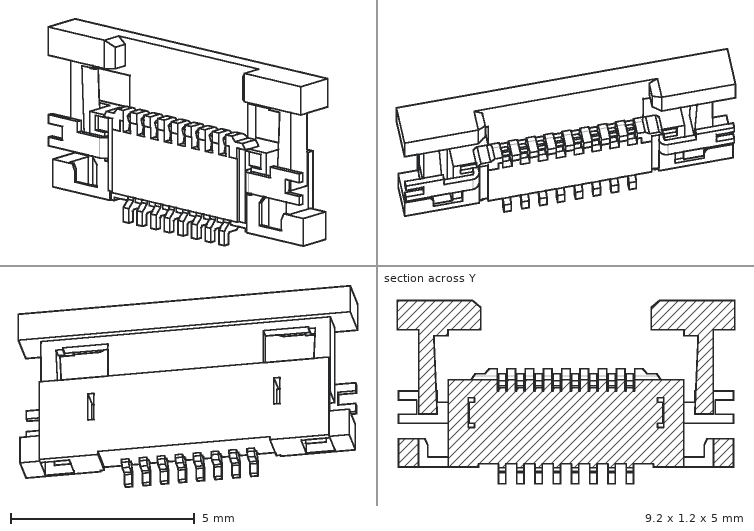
import cadquery as cq


SLIDER_WIDTH = 9.2
SLIDER_TOP = 5.0
SLIDER_BAR_BOTTOM = 4.195
SLIDER_FRONT = 0.03
SLIDER_BACK = 1.14
RECESS_HALF = 2.55
GUIDE_WIDTH = 0.23
GUIDE_DEPTH = 0.18
GUIDE_TOP_DROP = 0.19
PLATE_HALF = 2.15
PLATE_FRONT = 0.62
PLATE_SHOULDER = 3.95
ARM_FRONT = 0.285
ARM_BACK = 0.95
ARM_BOTTOM = 1.895
ARM_ROOT_INNER = 3.6
ARM_TIP_INNER = 3.505
ARM_WEB_BOTTOM = 4.03
ARM_GUSSET_INNER = 3.4
ARM_GUSSET_BOTTOM = 3.89

HOUSING_HALF = 4.01
HOUSING_BOTTOM = 0.45
HOUSING_TOP = 2.83
HOUSING_FRONT = 0.175
HOUSING_BACK = 1.2
BACK_WALL_FRONT = 1.0
BLOCK_HALF = 3.21
CENTER_HALF = 2.49
BOTTOM_NOTCH_HALF = 2.38
BOTTOM_NOTCH_TOP = 0.54
LIP_FRONT = 0.24
RAIL_FRONT = 0.12
RAIL_BOTTOM = 0.74

FOOT_HALF = 4.56
FOOT_INNER = 3.76
FOOT_TOP = 1.23
FOOT_BACK = 1.095
FOOT_CHAMFER_WIDTH = 0.08
FOOT_CHAMFER_HEIGHT = 0.175
SHELF_TOP = 0.74
FOOT_PLATE_BACK = 0.25
POCKET_BACK = 0.285
LATCH_POCKET_INNER = 2.95
LATCH_POCKET_SIDE_TOP = 1.37
LATCH_POCKET_TOP = 1.7
UPPER_POCKET_HALF = 3.01
UPPER_POCKET_BOTTOM = 2.34
UPPER_POCKET_TOP = 2.76

COVER_HALF = 2.27
COVER_FRONT = 0.04
COVER_NOTCH_INNER = 1.99
COVER_NOTCH_BOTTOM = 2.53
COMB_FRONT = 0.03
COMB_TOP = 3.14
COMB_SHOULDER = 3.0
COMB_BACK = 0.57
COMB_ROUND = 0.19
COMB_HIGH_HALF = 2.09
COMB_LOW_HALF = 2.475
COMB_HIGH_RUN = 0.12
COMB_LOW_RUN = 0.11

CONTACT_COUNT = 8
PITCH = 0.5
CONTACT_WIDTH = 0.2
SLOT_WIDTH = 0.26
SLOT_BACK = 0.61
TAIL_SLOT_BACK = 0.41
CONTACT_TOP = 3.0

TAB_BOTTOM = 1.65
TAB_TOP = 2.53
TAB_STEP_TOP = 2.23
TAB_STEP_X = 3.505
TAB_THICKNESS = 0.15
TAB_BEND_RADIUS = 0.22
TAB_LEG_BACK = 0.74
TAB_NOTCH_X = 4.07
TAB_NOTCH_BOTTOM = 1.895
TAB_NOTCH_TOP = 2.28
TAB_HOLE_BOTTOM = 1.54
TAB_HOLE_OUTER = 2.66


def box(x0, x1, y0, y1, z0, z1):
    return cq.Workplane("XY").box(x1 - x0, y1 - y0, z1 - z0, centered=False).translate((x0, y0, z0))


def front_prism(points, y0, y1):
    """Extrude an XZ outline from y0 back to y1."""
    return cq.Workplane("XZ", origin=(0, y0, 0)).polyline(points).close().extrude(y0 - y1)


def side_prism(points, x_center, width):
    """Extrude a YZ outline along X, centred on x_center."""
    start = cq.Workplane("YZ", origin=(x_center - width / 2, 0, 0))
    return start.polyline(points).close().extrude(width)


def both_sides(shape):
    return shape.union(shape.mirror("YZ"))


def make_slider():
    half = SLIDER_WIDTH / 2
    bar = box(-half, half, SLIDER_FRONT, SLIDER_BACK, SLIDER_BAR_BOTTOM, SLIDER_TOP)
    bar = bar.cut(box(-RECESS_HALF, RECESS_HALF, 0, PLATE_FRONT, SLIDER_BAR_BOTTOM, SLIDER_TOP))

    guide_inner = RECESS_HALF - GUIDE_WIDTH
    guide_plan = [
        (RECESS_HALF, SLIDER_FRONT),
        (guide_inner, SLIDER_FRONT + GUIDE_DEPTH),
        (guide_inner, PLATE_FRONT),
        (RECESS_HALF, PLATE_FRONT),
    ]
    guide_elevation = [
        (RECESS_HALF, SLIDER_BAR_BOTTOM),
        (guide_inner, SLIDER_BAR_BOTTOM),
        (guide_inner, SLIDER_TOP - GUIDE_TOP_DROP),
        (RECESS_HALF, SLIDER_TOP),
    ]
    guide = cq.Workplane("XY").polyline(guide_plan).close().extrude(SLIDER_TOP)
    guide = guide.intersect(front_prism(guide_elevation, SLIDER_FRONT, PLATE_FRONT))

    arm_outline = [
        (HOUSING_HALF, SLIDER_BAR_BOTTOM),
        (BLOCK_HALF, SLIDER_BAR_BOTTOM),
        (BLOCK_HALF, ARM_WEB_BOTTOM),
        (ARM_ROOT_INNER, ARM_WEB_BOTTOM),
        (ARM_TIP_INNER, ARM_BOTTOM),
        (HOUSING_HALF, ARM_BOTTOM),
    ]
    arm = front_prism(arm_outline, ARM_FRONT, ARM_BACK)
    gusset = box(ARM_GUSSET_INNER, ARM_ROOT_INNER, PLATE_FRONT, ARM_BACK, ARM_GUSSET_BOTTOM, SLIDER_BAR_BOTTOM)

    shoulder = box(-ARM_ROOT_INNER, ARM_ROOT_INNER, PLATE_FRONT, ARM_BACK, PLATE_SHOULDER, SLIDER_BAR_BOTTOM)
    tongue = box(-PLATE_HALF, PLATE_HALF, PLATE_FRONT, ARM_BACK, ARM_BOTTOM, SLIDER_BAR_BOTTOM)
    sides = both_sides(arm.union(gusset).union(guide))
    return bar.union(shoulder).union(tongue).union(sides)


def make_foot():
    """Corner block with a thin front plate closing off the arm channel."""
    outline = [
        (FOOT_HALF, HOUSING_BOTTOM),
        (FOOT_HALF, FOOT_TOP),
        (FOOT_INNER + FOOT_CHAMFER_WIDTH, FOOT_TOP),
        (FOOT_INNER, FOOT_TOP - FOOT_CHAMFER_HEIGHT),
        (FOOT_INNER, HOUSING_BOTTOM),
    ]
    plate = front_prism(outline, HOUSING_FRONT, FOOT_PLATE_BACK)
    block = box(HOUSING_HALF, FOOT_HALF, HOUSING_FRONT, FOOT_BACK, HOUSING_BOTTOM, FOOT_TOP)
    shelf = box(BLOCK_HALF, FOOT_INNER, HOUSING_FRONT, FOOT_PLATE_BACK, HOUSING_BOTTOM, SHELF_TOP)
    return plate.union(block).union(shelf)


def make_side_pockets():
    latch_outline = [
        (BLOCK_HALF, SHELF_TOP),
        (LATCH_POCKET_INNER, SHELF_TOP),
        (LATCH_POCKET_INNER, LATCH_POCKET_SIDE_TOP),
        (BLOCK_HALF, LATCH_POCKET_TOP),
    ]
    latch = front_prism(latch_outline, 0, POCKET_BACK)
    upper = box(CENTER_HALF, UPPER_POCKET_HALF, 0, POCKET_BACK, UPPER_POCKET_BOTTOM, UPPER_POCKET_TOP)
    tab_hole = box(CENTER_HALF, TAB_HOLE_OUTER, 0, HOUSING_BACK, TAB_HOLE_BOTTOM, UPPER_POCKET_BOTTOM)
    return both_sides(latch.union(upper).union(tab_hole))


def make_comb():
    """Rounded ridge along the cable entry, with stepped and sloped ends."""
    profile = (
        cq.Workplane("YZ", origin=(-HOUSING_HALF, 0, 0))
        .moveTo(COMB_FRONT, COVER_NOTCH_BOTTOM)
        .lineTo(COMB_FRONT, COMB_TOP)
        .lineTo(COMB_BACK - COMB_ROUND, COMB_TOP)
        .radiusArc((COMB_BACK, COMB_TOP - COMB_ROUND), COMB_ROUND)
        .lineTo(COMB_BACK, COVER_NOTCH_BOTTOM)
        .close()
        .extrude(2 * HOUSING_HALF)
    )
    right_edge = [
        (COVER_NOTCH_INNER, HOUSING_TOP),
        (COVER_NOTCH_INNER, COVER_NOTCH_BOTTOM),
        (COVER_HALF, COVER_NOTCH_BOTTOM),
        (COVER_HALF, HOUSING_TOP),
        (COMB_LOW_HALF + COMB_LOW_RUN, HOUSING_TOP),
        (COMB_LOW_HALF, COMB_SHOULDER),
        (COMB_HIGH_HALF + COMB_HIGH_RUN, COMB_SHOULDER),
        (COMB_HIGH_HALF, COMB_TOP),
    ]
    left_edge = [(-x, z) for x, z in reversed(right_edge)]
    return profile.intersect(front_prism(right_edge + left_edge, 0, HOUSING_BACK))


def make_cover():
    cover_outline = [
        (COVER_HALF, RAIL_BOTTOM),
        (COVER_HALF, COVER_NOTCH_BOTTOM),
        (COVER_NOTCH_INNER, COVER_NOTCH_BOTTOM),
        (COVER_NOTCH_INNER, HOUSING_TOP),
    ]
    mirrored = [(-x, z) for x, z in reversed(cover_outline)]
    return front_prism(cover_outline + mirrored, COVER_FRONT, LIP_FRONT)


def make_housing():
    body = box(-BLOCK_HALF, BLOCK_HALF, HOUSING_FRONT, HOUSING_BACK, HOUSING_BOTTOM, HOUSING_TOP)
    wall = box(-HOUSING_HALF, HOUSING_HALF, BACK_WALL_FRONT, HOUSING_BACK, HOUSING_BOTTOM, HOUSING_TOP)
    rails = box(-CENTER_HALF, CENTER_HALF, RAIL_FRONT, LIP_FRONT, RAIL_BOTTOM, HOUSING_TOP)
    lip_relief = box(-CENTER_HALF, CENTER_HALF, 0, LIP_FRONT, HOUSING_BOTTOM, RAIL_BOTTOM)
    notch = box(-BOTTOM_NOTCH_HALF, BOTTOM_NOTCH_HALF, 0, HOUSING_BACK, HOUSING_BOTTOM, BOTTOM_NOTCH_TOP)
    housing = body.union(wall).union(both_sides(make_foot()))
    housing = housing.cut(lip_relief).cut(notch).cut(make_side_pockets())
    return housing.union(rails).union(make_comb()).union(make_cover())


def make_contact_slots(x):
    half = SLOT_WIDTH / 2
    upper = box(x - half, x + half, 0, SLOT_BACK, COVER_NOTCH_BOTTOM, COMB_TOP)
    lower = box(x - half, x + half, LIP_FRONT, TAIL_SLOT_BACK, HOUSING_BOTTOM, RAIL_BOTTOM)
    return upper.union(lower)


def make_contact(x):
    """Hooked beak in the comb slot and bent solder tail under the housing."""
    root = COVER_NOTCH_BOTTOM - 0.09
    beak = [
        (0.22, root),
        (0.22, COVER_NOTCH_BOTTOM),
        (0.28, 2.78),
        (0.23, 2.78),
        (0.175, 2.95),
        (0.25, CONTACT_TOP),
        (0.3, CONTACT_TOP),
        (0.51, 2.81),
        (0.52, 2.67),
        (SLOT_BACK, 2.61),
        (SLOT_BACK, root),
    ]
    tail = [
        (0, 0),
        (0, 0.405),
        (0.19, 0.6),
        (0.19, RAIL_BOTTOM),
        (0.62, RAIL_BOTTOM),
        (0.62, HOUSING_BOTTOM),
        (0.51, 0.34),
        (0.22, 0.34),
        (0.175, 0.29),
        (0.175, 0),
    ]
    return side_prism(beak, x, CONTACT_WIDTH).union(side_prism(tail, x, CONTACT_WIDTH))


def make_tab():
    """Forked solder tab whose inner end bends back into the housing hole."""
    bend_start = CENTER_HALF + TAB_BEND_RADIUS
    inner_radius = TAB_BEND_RADIUS - TAB_THICKNESS
    strip = (
        cq.Workplane("XY", origin=(0, 0, TAB_BOTTOM))
        .moveTo(FOOT_HALF, 0)
        .lineTo(bend_start, 0)
        .radiusArc((CENTER_HALF, TAB_BEND_RADIUS), TAB_BEND_RADIUS)
        .lineTo(CENTER_HALF, TAB_LEG_BACK)
        .lineTo(CENTER_HALF + TAB_THICKNESS, TAB_LEG_BACK)
        .lineTo(CENTER_HALF + TAB_THICKNESS, TAB_BEND_RADIUS)
        .radiusArc((bend_start, TAB_THICKNESS), -inner_radius)
        .lineTo(FOOT_HALF, TAB_THICKNESS)
        .close()
        .extrude(TAB_TOP - TAB_BOTTOM)
    )
    step = box(CENTER_HALF, TAB_STEP_X, 0, TAB_LEG_BACK, TAB_STEP_TOP, TAB_TOP)
    fork = box(TAB_NOTCH_X, FOOT_HALF, 0, TAB_THICKNESS, TAB_NOTCH_BOTTOM, TAB_NOTCH_TOP)
    return strip.cut(step).cut(fork)


contact_positions = [(i - (CONTACT_COUNT - 1) / 2) * PITCH for i in range(CONTACT_COUNT)]

result = make_housing()
for position in contact_positions:
    result = result.cut(make_contact_slots(position))
for position in contact_positions:
    result = result.union(make_contact(position))
result = result.union(both_sides(make_tab())).union(make_slider())